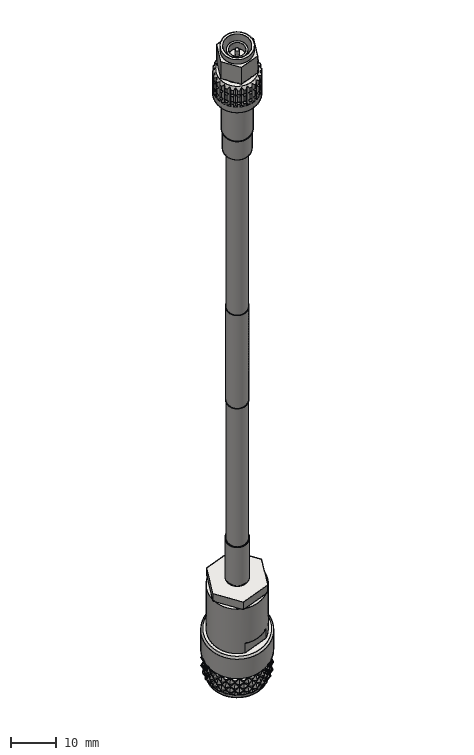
import cadquery as cq
import math


TOTAL_HEIGHT = 234.9

LARGE_NUT_BOTTOM_RIM_TOP = 1.5
LARGE_KNURL_TOP = 7.5
LARGE_COLLAR_BOTTOM = 8.5
LARGE_NUT_TOP = 16.2
WRENCH_FLAT_TOP = 19.7
LARGE_BARREL_TOP = 32.9
LARGE_HEX_TOP = 35.7

BOOT_TOP = 50.3
MARKER_BOTTOM = 102.2
MARKER_TOP = 137.2
FERRULE_BOTTOM = 196.5
FERRULE_TOP = 203.6

SMALL_GRIP_BOTTOM = 216.0
SMALL_KNURL_BOTTOM = 219.4
SMALL_GRIP_TOP = 226.2
SMALL_HEX_BOTTOM = 227.0
SMALL_HEX_TOP = 233.2

HEX_SIDES = 6
HALF_HEX_TURN = 180 / HEX_SIDES

CABLE_RADIUS = 2.47
MARKER_RADIUS = 2.5
BOOT_RADIUS = 2.7
FERRULE_RADIUS = 3.3
EDGE_CHAMFER = 0.2

LARGE_NUT_RADIUS = 8.0
LARGE_NECK_RADIUS = 7.0
LARGE_BARREL_RADIUS = 6.8
LARGE_SPIGOT_RADIUS = 5.6
LARGE_HEX_FLATS = 12.2
WRENCH_FLATS = LARGE_HEX_FLATS
LARGE_NUT_CHAMFER = 0.5
LARGE_KNURL_CHAMFER = 0.7
LARGE_KNURL_TEETH = 24
LARGE_KNURL_DEPTH = 0.59
LARGE_KNURL_TWIST = 2 * 360 / LARGE_KNURL_TEETH

SMALL_NUT_RADIUS = 5.5
SMALL_NECK_RADIUS = 3.8
SMALL_NUT_BORE_RADIUS = 3.17
SMALL_HEX_FLATS = 8.2
SMALL_GRIP_TOP_CHAMFER = 0.7
SMALL_GRIP_BOTTOM_CHAMFER_HEIGHT = 2.3
SMALL_GRIP_BOTTOM_CHAMFER_WIDTH = 1.2
SMALL_KNURL_GROOVES = 24
SMALL_KNURL_DEPTH = 0.5
SMALL_KNURL_HALF_WIDTH = 0.5
RING_GROOVE_HEIGHTS = (220.8, 223.5)
RING_GROOVE_DEPTH = 0.2
RING_GROOVE_HALF_WIDTH = 0.5
STEM_RADIUS = 3.5
PLUG_RADIUS = 2.3
PLUG_BORE_RADIUS = 1.9
PLUG_RECESS_DEPTH = 2.3
PLUG_TOP = 233.5
PIN_RADIUS = 0.5


def cylinder(radius, bottom, top):
    return cq.Workplane("XY").workplane(offset=bottom).circle(radius).extrude(top - bottom)


def tube(outer_radius, inner_radius, bottom, top):
    return cylinder(outer_radius, bottom, top).cut(cylinder(inner_radius, bottom, top))


def hexagon(across_flats, bottom, top):
    """Hexagonal prism with two flats facing -X and +X."""
    corner_diameter = across_flats / math.cos(math.pi / HEX_SIDES)
    prism = cq.Workplane("XY").polygon(HEX_SIDES, corner_diameter).extrude(top - bottom)
    return prism.rotate((0, 0, 0), (0, 0, 1), HALF_HEX_TURN).translate((0, 0, bottom))


def toothed_outline(radius, depth, teeth):
    """Closed outline of V-shaped teeth whose tips lie on the given radius."""
    points = []
    for i in range(2 * teeth):
        r = radius if i % 2 == 0 else radius - depth
        angle = math.pi * i / teeth
        points.append((r * math.cos(angle), r * math.sin(angle)))
    return cq.Workplane("XY").polyline(points).close()


def make_cable():
    return cylinder(CABLE_RADIUS, LARGE_HEX_TOP, FERRULE_TOP)


def make_marker():
    return tube(MARKER_RADIUS, CABLE_RADIUS, MARKER_BOTTOM, MARKER_TOP)


def make_boot():
    return tube(BOOT_RADIUS, CABLE_RADIUS, LARGE_HEX_TOP, BOOT_TOP)


def make_ferrule():
    sleeve = cylinder(FERRULE_RADIUS, FERRULE_BOTTOM, FERRULE_TOP).faces(">Z").chamfer(EDGE_CHAMFER)
    return sleeve.cut(cylinder(CABLE_RADIUS, FERRULE_BOTTOM, FERRULE_TOP))


def make_large_body():
    """Barrel with a hexagon on top, two wrench flats and a spigot that fills the nut."""
    barrel = cylinder(LARGE_BARREL_RADIUS, LARGE_NUT_TOP, LARGE_BARREL_TOP)
    flat_height = WRENCH_FLAT_TOP - LARGE_NUT_TOP
    flat_depth = LARGE_BARREL_RADIUS - WRENCH_FLATS / 2
    for side in (-1, 1):
        cutter = cq.Workplane("XY").box(flat_depth, 2 * LARGE_BARREL_RADIUS, flat_height)
        flat_center = (
            side * (WRENCH_FLATS + flat_depth) / 2,
            0,
            LARGE_NUT_TOP + flat_height / 2,
        )
        barrel = barrel.cut(cutter.translate(flat_center))
    head = hexagon(LARGE_HEX_FLATS, LARGE_BARREL_TOP, LARGE_HEX_TOP)
    spigot = cylinder(LARGE_SPIGOT_RADIUS, 0, LARGE_NUT_TOP)
    return barrel.union(head).union(spigot)


def make_large_knurl():
    """Diamond knurl: what a right-hand and a left-hand twisted toothed prism share."""
    height = LARGE_KNURL_TOP - LARGE_NUT_BOTTOM_RIM_TOP
    outline = (LARGE_NUT_RADIUS, LARGE_KNURL_DEPTH, LARGE_KNURL_TEETH)
    right_hand = toothed_outline(*outline).twistExtrude(height, LARGE_KNURL_TWIST)
    left_hand = toothed_outline(*outline).twistExtrude(height, -LARGE_KNURL_TWIST)
    blank = cylinder(LARGE_NUT_RADIUS, 0, height).faces("<Z").chamfer(LARGE_KNURL_CHAMFER)
    knurl = right_hand.intersect(left_hand).intersect(blank)
    return knurl.translate((0, 0, LARGE_NUT_BOTTOM_RIM_TOP))


def make_large_nut():
    """Coupling nut: plain collar above a diamond-knurled grip, joined by a thinner neck."""
    neck = cylinder(LARGE_NECK_RADIUS, 0, LARGE_NUT_TOP)
    collar = cylinder(LARGE_NUT_RADIUS, LARGE_COLLAR_BOTTOM, LARGE_NUT_TOP)
    collar = collar.faces(">Z").chamfer(LARGE_NUT_CHAMFER)
    nut = neck.union(collar).union(make_large_knurl())
    return nut.cut(cylinder(LARGE_SPIGOT_RADIUS, 0, LARGE_NUT_TOP))


def axial_groove_cutter():
    """V-shaped bar on the +X side; it stands as far outside the grip as its root lies inside."""
    root = SMALL_NUT_RADIUS - SMALL_KNURL_DEPTH
    outside = SMALL_NUT_RADIUS + SMALL_KNURL_DEPTH
    outside_half_width = 2 * SMALL_KNURL_HALF_WIDTH
    return (
        cq.Workplane("XY")
        .workplane(offset=SMALL_KNURL_BOTTOM)
        .moveTo(root, 0)
        .lineTo(outside, -outside_half_width)
        .lineTo(outside, outside_half_width)
        .close()
        .extrude(SMALL_GRIP_TOP - SMALL_KNURL_BOTTOM)
    )


def ring_groove_cutter(z):
    """V-shaped ring centred on height z."""
    return (
        cq.Workplane("XZ")
        .moveTo(SMALL_NUT_RADIUS - RING_GROOVE_DEPTH, z)
        .lineTo(SMALL_NUT_RADIUS, z - RING_GROOVE_HALF_WIDTH)
        .lineTo(SMALL_NUT_RADIUS, z + RING_GROOVE_HALF_WIDTH)
        .close()
        .revolve(360, (0, 0, 0), (0, 1, 0))
    )


def make_small_grip():
    """Round grip with straight grooves crossed by ring grooves, and a plain band below them."""
    grip = cylinder(SMALL_NUT_RADIUS, SMALL_GRIP_BOTTOM, SMALL_GRIP_TOP)
    grip = grip.faces(">Z").chamfer(SMALL_GRIP_TOP_CHAMFER)
    grip = grip.faces("<Z").chamfer(SMALL_GRIP_BOTTOM_CHAMFER_WIDTH, SMALL_GRIP_BOTTOM_CHAMFER_HEIGHT)
    for z in RING_GROOVE_HEIGHTS:
        grip = grip.cut(ring_groove_cutter(z))
    cutter = axial_groove_cutter()
    for i in range(SMALL_KNURL_GROOVES):
        angle = 360 * i / SMALL_KNURL_GROOVES
        grip = grip.cut(cutter.rotate((0, 0, 0), (0, 0, 1), angle))
    return grip


def make_small_nut():
    """Coupling nut with a knurled grip below and a hexagon with a round lip above."""
    neck = cylinder(SMALL_NECK_RADIUS, SMALL_GRIP_BOTTOM, TOTAL_HEIGHT)
    grip = make_small_grip()
    head = hexagon(SMALL_HEX_FLATS, SMALL_HEX_BOTTOM, SMALL_HEX_TOP)
    bore = cylinder(SMALL_NUT_BORE_RADIUS, SMALL_GRIP_BOTTOM, TOTAL_HEIGHT)
    return neck.union(grip).union(head).cut(bore)


def make_small_body():
    """Stem below the nut, hub that fills its bore, and a plug with a centre pin."""
    stem = cylinder(STEM_RADIUS, FERRULE_TOP, SMALL_GRIP_BOTTOM).faces("<Z").chamfer(EDGE_CHAMFER)
    hub = cylinder(SMALL_NUT_BORE_RADIUS, SMALL_GRIP_BOTTOM, SMALL_GRIP_TOP)
    recess_floor = PLUG_TOP - PLUG_RECESS_DEPTH
    plug = cylinder(PLUG_RADIUS, SMALL_GRIP_TOP, PLUG_TOP)
    recess = cylinder(PLUG_BORE_RADIUS, recess_floor, PLUG_TOP)
    pin = cylinder(PIN_RADIUS, recess_floor, PLUG_TOP)
    return stem.union(hub).union(plug).cut(recess).union(pin)


cable = make_cable()
marker = make_marker()
boot = make_boot()
ferrule = make_ferrule()
large_body = make_large_body()
large_nut = make_large_nut()
small_body = make_small_body()
small_nut = make_small_nut()

result = cq.Compound.makeCompound([
    cable.val(),
    marker.val(),
    boot.val(),
    ferrule.val(),
    large_body.val(),
    large_nut.val(),
    small_body.val(),
    small_nut.val(),
])